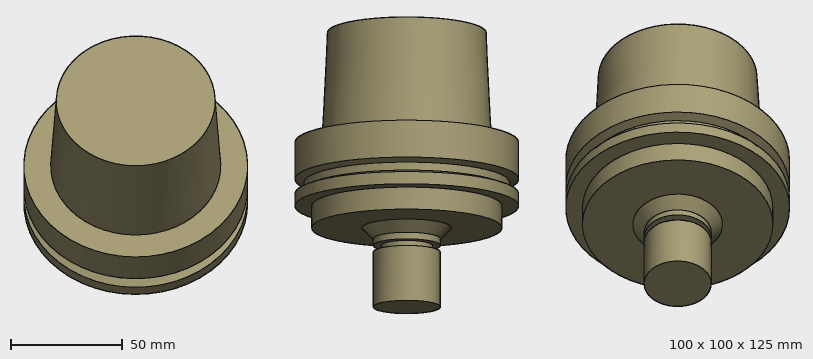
import cadquery as cq

STUD_GROOVE_BOTTOM = 25.0
STUD_GROOVE_TOP = 28.0
STUD_HEAD_BOTTOM = 31.0
HOLDER_BOTTOM = 36.0
FLANGE_BOTTOM = 46.0
FLANGE_TOP = 75.0
TAPER_TOP = 125.0

STUD_DIAMETER = 30.0
STUD_GROOVE_DIAMETER = 23.0
SPIGOT_DIAMETER = 85.0
FLANGE_DIAMETER = 100.0
FLANGE_GROOVE_DIAMETER = 92.0
TAPER_BASE_DIAMETER = 76.0
TAPER_TOP_DIAMETER = 71.0

FLANGE_GROOVE_CENTER = 54.9
FLANGE_GROOVE_FLOOR_WIDTH = 3.6
FLANGE_GROOVE_MOUTH_WIDTH = 6.6


def revolve_profile(steps):
    """Revolve (diameter, height) corners, listed from bottom to top, about Z."""
    bottom = steps[0][1]
    top = steps[-1][1]
    outline = [(diameter / 2, height) for diameter, height in steps]
    return (
        cq.Workplane("XZ")
        .polyline([(0, bottom), *outline, (0, top)])
        .close()
        .revolve(360, (0, 0), (0, 1))
    )


def make_holder():
    """Tapered holder with a grooved flange and a spigot below it."""
    half_floor = FLANGE_GROOVE_FLOOR_WIDTH / 2
    half_mouth = FLANGE_GROOVE_MOUTH_WIDTH / 2
    return revolve_profile([
        (SPIGOT_DIAMETER, HOLDER_BOTTOM),
        (SPIGOT_DIAMETER, FLANGE_BOTTOM),
        (FLANGE_DIAMETER, FLANGE_BOTTOM),
        (FLANGE_DIAMETER, FLANGE_GROOVE_CENTER - half_mouth),
        (FLANGE_GROOVE_DIAMETER, FLANGE_GROOVE_CENTER - half_floor),
        (FLANGE_GROOVE_DIAMETER, FLANGE_GROOVE_CENTER + half_floor),
        (FLANGE_DIAMETER, FLANGE_GROOVE_CENTER + half_mouth),
        (FLANGE_DIAMETER, FLANGE_TOP),
        (TAPER_BASE_DIAMETER, FLANGE_TOP),
        (TAPER_TOP_DIAMETER, TAPER_TOP),
    ])


def make_stud():
    """Grooved stud with a 45 degree conical head seated against the holder."""
    head_height = HOLDER_BOTTOM - STUD_HEAD_BOTTOM
    head_diameter = STUD_DIAMETER + 2 * head_height
    return revolve_profile([
        (STUD_DIAMETER, 0),
        (STUD_DIAMETER, STUD_GROOVE_BOTTOM),
        (STUD_GROOVE_DIAMETER, STUD_GROOVE_BOTTOM),
        (STUD_GROOVE_DIAMETER, STUD_GROOVE_TOP),
        (STUD_DIAMETER, STUD_GROOVE_TOP),
        (STUD_DIAMETER, STUD_HEAD_BOTTOM),
        (head_diameter, HOLDER_BOTTOM),
    ])


holder = make_holder()
stud = make_stud()

result = cq.Compound.makeCompound([holder.val(), stud.val()])